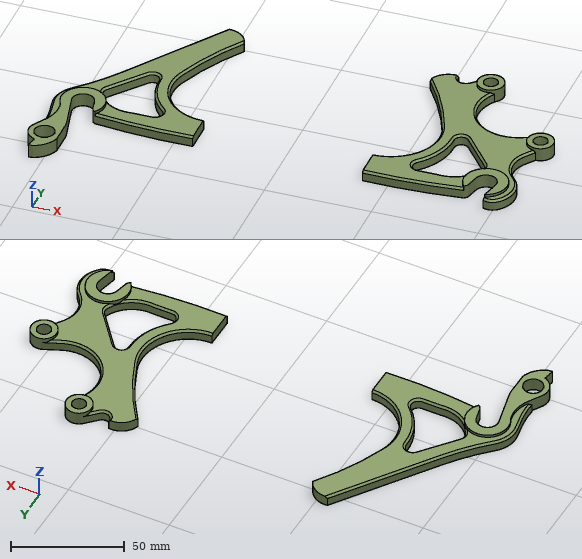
import cadquery as cq
import math


AXLE = (0, 0)
AXLE_OFFSET = 94.2
PLATE_HEIGHT = 5.0
PAD_HEIGHT = 6.5
CHAMFER = 1.0

SLOT_RADIUS = 5.0
SLOT_TILT = math.radians(13)
LIP_DEPTH = 6.2
HUB_RADIUS = 13.7
PAD_RADIUS = 10.2

ARM_END_X = 54.5
ARM_BOTTOM_Y = -8.9
LIP_MID = (7.0, -6.0)
LIP_CORNER = (8.2, -6.7)
ARM_BOTTOM_MID = (20.6, -8.0)

TIP_OUTER = (40.0, 76.0)
TIP_MID = (47.0, 74.3)
TIP_INNER = (50.8, 69.0)
OUTER_BEND = (7.3, 29.3)

THROAT_RADIUS = 22.6
THROAT_CENTER = (ARM_END_X, 28.4)
THROAT_END_ANGLE = 160
WEB_WIDTH = 6.7
WINDOW_FLOOR_Y = 0.9
WINDOW_FLOOR_START_X = 22.8
WINDOW_HUB_CORNER = (4.7, 13.0)
WINDOW_HUB_MID = (11.5, 3.5)
WINDOW_APEX_Y = 38.5
WINDOW_APEX_FILLET = 3.3
WINDOW_CORNER_FILLET = 3.5

HUB_START_ANGLE = 132
HUB_END_ANGLE = 192
HANGER_CENTER = (-7.8, -28.5)
HANGER_RADIUS = 7.3
HANGER_HOLE_RADIUS = 4.7
EYE_START_ANGLE = 148
EYE_END_ANGLE = 240
HANGER_SLOT_WALL = 17.7
HANGER_INNER_X = -0.7
HANGER_INNER_TOP_Y = -23.3
HANGER_INNER_BOTTOM_Y = -32.1
HANGER_STEP_TOP_ANGLE = 193
HANGER_STEP_MID = (-8.0, -10.2)
HANGER_STEP_BOTTOM = (-11.0, -20.0)
HANGER_NECK_TOP = (-12.2, -9.8)
HANGER_NECK_BOTTOM = (-11.8, -19.7)
STOP_CORNER = (-10.0, -35.7)
STOP_BOTTOM = (-10.9, -41.0)
STOP_TIP = (-8.6, -40.8)
STOP_MID = (-2.9, -36.5)

MOUNT_CENTERS = [(24.2, 74.0), (-12.0, 38.1)]
MOUNT_RADIUS = 6.2
MOUNT_HOLE_RADIUS = 3.3
CALIPER_CENTER = (5.3, 57.9)
CALIPER_RADIUS = 18.8
CALIPER_START_ANGLE = 36
NOTCH_X = 36.4
NOTCH_RADIUS = 3.5

WAIST_CENTER = (-20.0, 19.3)
WAIST_START_ANGLE = 37
WAIST_TOP = (-12.6, 33.0)
HOOK_TURN_ANGLE = 226
HOOK_DEPTH = 10.2


def polar(center, radius, degrees):
    """Point on a circle, with the angle measured from +X."""
    angle = math.radians(degrees)
    return (center[0] + radius * math.cos(angle), center[1] + radius * math.sin(angle))


def slot_wall(side, depth):
    """Point on the +X (side 1) or -X (side -1) wall of the slot, a depth below the axle."""
    return (
        side * SLOT_RADIUS * math.cos(SLOT_TILT) + depth * math.sin(SLOT_TILT),
        side * SLOT_RADIUS * math.sin(SLOT_TILT) - depth * math.cos(SLOT_TILT),
    )


def start_arms():
    """Shared edge of both dropouts, from the slot around both arms to the upper arm's tip."""
    slot_top = (-SLOT_RADIUS * math.sin(SLOT_TILT), SLOT_RADIUS * math.cos(SLOT_TILT))
    return (
        cq.Workplane("XY")
        .moveTo(*slot_wall(-1, 0))
        .threePointArc(slot_top, slot_wall(1, 0))
        .lineTo(*slot_wall(1, LIP_DEPTH))
        .threePointArc(LIP_MID, LIP_CORNER)
        .threePointArc(ARM_BOTTOM_MID, (ARM_END_X, ARM_BOTTOM_Y))
        .lineTo(*polar(THROAT_CENTER, THROAT_RADIUS, 270))
        .threePointArc(
            polar(THROAT_CENTER, THROAT_RADIUS, 215),
            polar(THROAT_CENTER, THROAT_RADIUS, THROAT_END_ANGLE),
        )
        .tangentArcPoint(TIP_INNER, relative=False)
        .threePointArc(TIP_MID, TIP_OUTER)
    )


def hanger_plate_outline():
    """Dropout whose outer side runs around the hub and down to the hanger."""
    return (
        start_arms()
        .lineTo(*OUTER_BEND)
        .tangentArcPoint(polar(AXLE, HUB_RADIUS, HUB_START_ANGLE), relative=False)
        .tangentArcPoint(polar(AXLE, HUB_RADIUS, HUB_END_ANGLE), relative=False)
        .lineTo(*HANGER_NECK_TOP)
        .tangentArcPoint(HANGER_NECK_BOTTOM, relative=False)
        .lineTo(*slot_wall(-1, HANGER_SLOT_WALL))
        .close()
        .val()
    )


def brake_plate_outline():
    """Dropout whose outer side runs past two brake mounts and ends in a hook."""
    upper, lower = MOUNT_CENTERS
    notch_y = sum(upper) + math.sqrt(2) * (MOUNT_RADIUS + NOTCH_RADIUS) - NOTCH_X
    notch = (NOTCH_X, notch_y)
    reach_x = lower[0] - CALIPER_CENTER[0]
    reach_y = lower[1] - CALIPER_CENTER[1]
    spread = math.acos((CALIPER_RADIUS + MOUNT_RADIUS) / math.hypot(reach_x, reach_y))
    tangent_angle = math.degrees(math.atan2(reach_y, reach_x) + spread)
    waist_radius = math.hypot(*WAIST_CENTER) - HUB_RADIUS
    waist_to_hub = math.degrees(math.atan2(WAIST_CENTER[1], WAIST_CENTER[0]))
    return (
        start_arms()
        .threePointArc(polar(notch, NOTCH_RADIUS, 285), polar(notch, NOTCH_RADIUS, 225))
        .lineTo(*polar(upper, MOUNT_RADIUS, 45))
        .lineTo(*upper)
        .lineTo(*polar(CALIPER_CENTER, CALIPER_RADIUS, CALIPER_START_ANGLE))
        .threePointArc(
            polar(CALIPER_CENTER, CALIPER_RADIUS, -45),
            polar(CALIPER_CENTER, CALIPER_RADIUS, tangent_angle),
        )
        .lineTo(*polar(lower, MOUNT_RADIUS, tangent_angle + 180))
        .lineTo(*lower)
        .lineTo(*WAIST_TOP)
        .lineTo(*polar(WAIST_CENTER, waist_radius, WAIST_START_ANGLE))
        .threePointArc(
            polar(WAIST_CENTER, waist_radius, 0),
            polar(WAIST_CENTER, waist_radius, waist_to_hub - 180),
        )
        .threePointArc(
            polar(AXLE, HUB_RADIUS, 180),
            polar(AXLE, HUB_RADIUS, HOOK_TURN_ANGLE),
        )
        .tangentArcPoint(slot_wall(-1, HOOK_DEPTH), relative=False)
        .close()
        .val()
    )


def prism(outline, height):
    """Straight block standing on a closed outline."""
    return cq.Workplane("XY").add(outline).toPending().extrude(height)


def window():
    """Three-cornered opening between the arms, with rounded corners."""
    side_radius = THROAT_RADIUS + WEB_WIDTH
    side_x = ARM_END_X - side_radius
    floor_reach = math.sqrt(side_radius**2 - (THROAT_CENTER[1] - WINDOW_FLOOR_Y) ** 2)
    apex = (side_x, WINDOW_APEX_Y)
    floor_corner = (ARM_END_X - floor_reach, WINDOW_FLOOR_Y)
    opening = (
        cq.Workplane("XY")
        .moveTo(*apex)
        .lineTo(*WINDOW_HUB_CORNER)
        .threePointArc(WINDOW_HUB_MID, (WINDOW_FLOOR_START_X, WINDOW_FLOOR_Y))
        .lineTo(*floor_corner)
        .threePointArc(
            polar(THROAT_CENTER, side_radius, 210),
            polar(THROAT_CENTER, side_radius, 180),
        )
        .close()
        .extrude(PLATE_HEIGHT)
    )
    roundings = [
        (apex, WINDOW_APEX_FILLET),
        (WINDOW_HUB_CORNER, WINDOW_CORNER_FILLET),
        (floor_corner, WINDOW_CORNER_FILLET),
    ]
    for (x, y), radius in roundings:
        corner = cq.selectors.NearestToPointSelector((x, y, PLATE_HEIGHT / 2))
        opening = opening.edges(corner).fillet(radius)
    return opening


def plate(outline):
    """Flat dropout, chamfered along its top edge except at the slot and across the arm ends."""
    top_edges = prism(outline, PLATE_HEIGHT).cut(window()).faces(">Z").edges()
    square_places = [
        (0, SLOT_RADIUS),
        slot_wall(-1, LIP_DEPTH),
        slot_wall(1, LIP_DEPTH / 2),
        LIP_MID,
        (ARM_END_X, 0),
        TIP_MID,
    ]
    for x, y in square_places:
        square_edge = cq.selectors.NearestToPointSelector((x, y, PLATE_HEIGHT))
        top_edges = top_edges.edges(cq.selectors.InverseSelector(square_edge))
    return top_edges.chamfer(CHAMFER)


def axle_pad(outline):
    """Raised round face about the axle, trimmed to the dropout's outline."""
    disc = cq.Workplane("XY").circle(PAD_RADIUS).extrude(PAD_HEIGHT)
    return prism(outline, PAD_HEIGHT).intersect(disc)


def hanger():
    """Full-height derailleur hanger below the axle pad, with a stop at its lower end."""
    hole = cq.Workplane("XY").center(*HANGER_CENTER).circle(HANGER_HOLE_RADIUS).extrude(PAD_HEIGHT)
    return (
        cq.Workplane("XY")
        .moveTo(*slot_wall(-1, 0))
        .lineTo(*slot_wall(-1, HANGER_SLOT_WALL))
        .tangentArcPoint((HANGER_INNER_X, HANGER_INNER_TOP_Y), relative=False)
        .lineTo(HANGER_INNER_X, HANGER_INNER_BOTTOM_Y)
        .threePointArc(STOP_MID, STOP_TIP)
        .lineTo(*STOP_BOTTOM)
        .lineTo(*STOP_CORNER)
        .lineTo(*polar(HANGER_CENTER, HANGER_RADIUS, EYE_END_ANGLE))
        .threePointArc(
            polar(HANGER_CENTER, HANGER_RADIUS, (EYE_START_ANGLE + EYE_END_ANGLE) / 2),
            polar(HANGER_CENTER, HANGER_RADIUS, EYE_START_ANGLE),
        )
        .lineTo(*HANGER_STEP_BOTTOM)
        .threePointArc(HANGER_STEP_MID, polar(AXLE, PAD_RADIUS, HANGER_STEP_TOP_ANGLE))
        .close()
        .extrude(PAD_HEIGHT)
        .cut(hole)
    )


def make_hanger_dropout():
    """Plate, axle pad and hanger as one solid on the -X side."""
    outline = hanger_plate_outline()
    body = plate(outline).union(axle_pad(outline)).union(hanger())
    return body.translate((-AXLE_OFFSET, 0, 0))


def make_brake_dropout():
    """Plate, axle pad and pierced brake mounts as one solid, mirrored onto the +X side."""
    outline = brake_plate_outline()
    mounts = cq.Workplane("XY").pushPoints(MOUNT_CENTERS).circle(MOUNT_RADIUS).extrude(PAD_HEIGHT)
    holes = cq.Workplane("XY").pushPoints(MOUNT_CENTERS).circle(MOUNT_HOLE_RADIUS).extrude(PAD_HEIGHT)
    body = plate(outline).union(axle_pad(outline)).union(mounts).cut(holes)
    return body.mirror("YZ").translate((AXLE_OFFSET, 0, 0))


hanger_dropout = make_hanger_dropout()
brake_dropout = make_brake_dropout()

result = cq.Compound.makeCompound([hanger_dropout.val(), brake_dropout.val()])